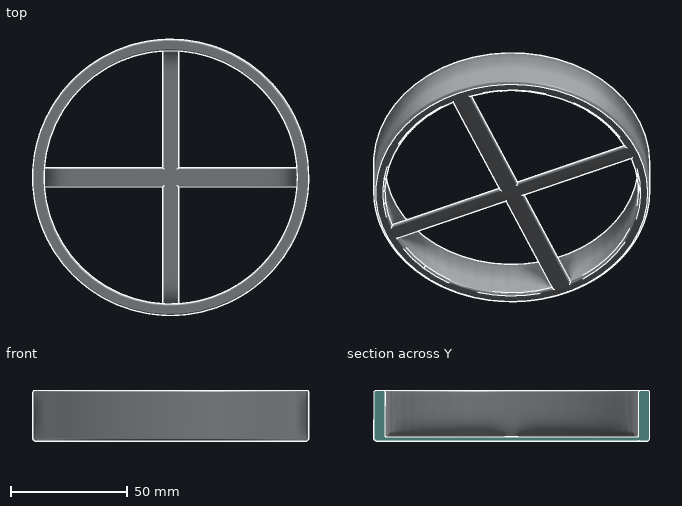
import cadquery as cq

outer_diameter = 119.0
inner_diameter = 109.0
ring_height = 22.0
edge_radius = 1.0
foot_chamfer = 1.0

x_spoke_width = 8.5
y_spoke_width = 7.0
spoke_thickness = 2.0
spoke_edge_radius = 0.8


def make_ring():
    """Ring with rounded rims and a softened chamfer around its outer foot."""
    body = cq.Workplane("XY").circle(outer_diameter / 2).extrude(ring_height)
    body = body.faces("<Z").chamfer(foot_chamfer)

    shoulder = cq.selectors.BoxSelector(
        (-outer_diameter, -outer_diameter, foot_chamfer / 2),
        (outer_diameter, outer_diameter, foot_chamfer * 3 / 2),
        boundingbox=True,
    )
    body = body.edges("%CIRCLE").edges(shoulder).fillet(edge_radius)

    ring = body.cut(cq.Workplane("XY").circle(inner_diameter / 2).extrude(ring_height))
    ring = ring.edges(">Z").fillet(edge_radius)
    smallest_circle = cq.selectors.RadiusNthSelector(0)
    return ring.faces("<Z").edges(smallest_circle).fillet(edge_radius)


def make_cross():
    """Two crossing spokes with rounded long edges, ending inside the ring wall."""
    spoke_length = (outer_diameter + inner_diameter) / 2
    x_spoke = cq.Workplane("XY").rect(spoke_length, x_spoke_width).extrude(spoke_thickness)
    y_spoke = cq.Workplane("XY").rect(y_spoke_width, spoke_length).extrude(spoke_thickness)
    return x_spoke.union(y_spoke).faces("<Z or >Z").edges().fillet(spoke_edge_radius)


result = make_ring().union(make_cross())